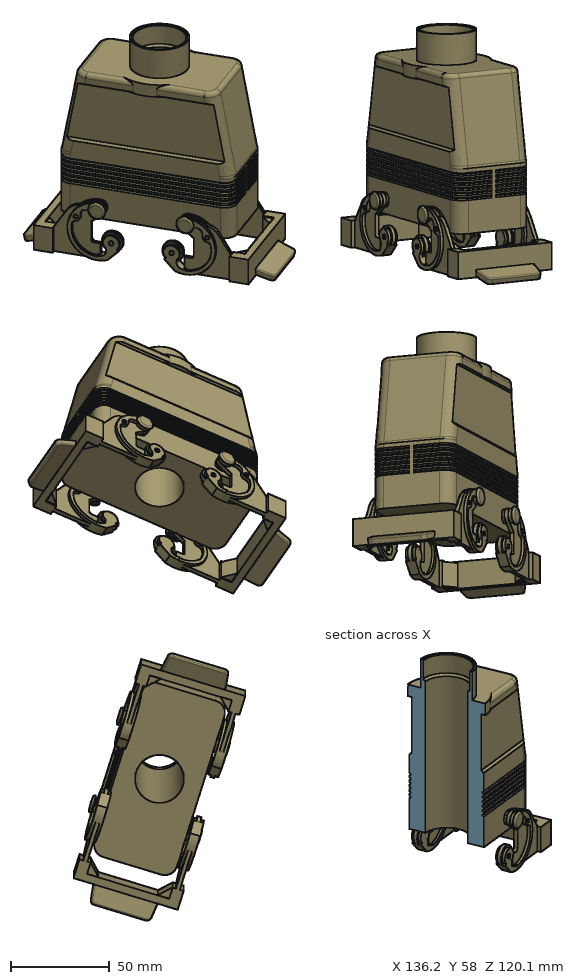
import cadquery as cq
import math


hood_half_x = 47.09
hood_half_y = 21.87
hood_height = 81.0
corner_radius = 6.5
top_edge_radius = 2.6
ledge_bottom = 33.7
ledge_top = 35.0
taper_base_half_x = 46.6
taper_top_half_x = 38.0

recess_depth = 1.3
recess_bottom = 41.7
recess_top = 74.1
recess_top_rise = 0.5

groove_count = 6
groove_width = 1.5
groove_depth = 0.8
groove_pitch = 2.53
lowest_groove_z = 18.0
groove_web = 2.6

boss_radius = 22.8
neck_radius = 15.1
neck_top = 96.9
neck_bore_radius = 13.6
rim_chamfer = 0.4
bore_radius = 12.4
neck_bore_bottom = 86.1

pin_x = 23.78
pin_z = 7.4
ring_x = pin_x
ring_z = -4.97
ring_outer_radius = 16.1
ring_inner_radius = 13.9
plate_arc_radius = 16.4
lug_radius = ring_z + plate_arc_radius - pin_z
raised_lug_radius = ring_z + ring_outer_radius - pin_z
hook_x = 16.29
hook_z = -10.2
hook_radius = 5.6
hook_pad_radius = 4.4
hook_dimple_radius = 1.2
dimple_depth = 0.4
shoulder_angle = 52.0
shoulder_middle = (37.6, 6.7)
shoulder_end = (40.8, 4.0)
rivet_x = 35.5
rivet_z = 1.8
rivet_dimple_radius = 1.1
rivet_pad_radius = 2.5
throat_x = 22.6
throat_z = -14.7
throat_radius = 3.7
window_x = 27.7
window_bottom = -12.1
window_radius = 1.6

layer_inner_y = 22.01
plate_inner_y = 23.51
plate_outer_y = 25.6
layer_outer_y = 27.33
head_inner_y = 27.8
head_outer_y = 29.0
head_radius = 4.6
head_edge_radius = 1.1
pin_radius = 2.93
pin_embed = 1.4

bridge_outer_x = 57.9
bridge_inner_x = 53.77
bridge_end_x = 47.7
bridge_half_y = 27.7
bridge_slot_half_y = 21.8
bridge_bottom = -20.7
bridge_top = -6.7
gusset_leg = bridge_inner_x - bridge_end_x
gusset_margin = 0.7
tab_tip_x = 68.1
tab_bottom_z = -23.2
tab_thickness = 3.7
tab_angle = 17.0
tab_root_half_y = 17.7
tab_tip_half_y = 15.8
tab_corner_radius = 2.6
tab_edge_radius = 0.7


def rounded_storey(z_low, size_low, z_high, size_high):
    """Block with rounded corners; each size is (half X, half Y, corner radius)."""
    sections = []
    for z, (half_x, half_y, radius) in ((z_low, size_low), (z_high, size_high)):
        section = cq.Sketch().rect(2 * half_x, 2 * half_y).vertices().fillet(radius)
        sections.append(section.moved(cq.Location(cq.Vector(0, 0, z))))
    return cq.Workplane("XY").placeSketch(*sections).loft(ruled=True)


def hood_storey(z_low, half_low, z_high, half_high):
    """One storey of the hood, tapering only along X."""
    return rounded_storey(
        z_low, (half_low, hood_half_y, corner_radius),
        z_high, (half_high, hood_half_y, corner_radius))


def make_hood():
    base = hood_storey(0, hood_half_x, ledge_bottom, hood_half_x)
    ledge = hood_storey(ledge_bottom, hood_half_x, ledge_top, taper_base_half_x)
    tower = hood_storey(ledge_top, taper_base_half_x, hood_height, taper_top_half_x)
    tower = tower.faces(">Z").edges().fillet(top_edge_radius)
    return base.union(ledge).union(tower)


def recess_cutter():
    """Recess of the front long face, with a 45 degree lower lip."""
    floor_y = hood_half_y - recess_depth
    clear_y = hood_half_y + recess_depth
    profile = [
        (-clear_y, recess_bottom - recess_depth),
        (-floor_y, recess_bottom + recess_depth),
        (-floor_y, recess_top),
        (-hood_half_y, recess_top + recess_top_rise),
        (-clear_y, recess_top + recess_top_rise),
    ]
    return cq.Workplane("YZ").polyline(profile).close().extrude(hood_half_x, both=True)


def groove_cutter(z):
    """V groove running round the hood, interrupted by a web on each end face."""
    half = groove_width / 2
    wall = (hood_half_x, hood_half_y, corner_radius)
    root = tuple(size - groove_depth for size in wall)
    ring = rounded_storey(z - half, wall, z + half, wall)
    ring = ring.cut(rounded_storey(z - half, wall, z, root))
    ring = ring.cut(rounded_storey(z, root, z + half, wall))
    web = cq.Workplane("XY").box(2 * hood_half_x, groove_web, groove_width).translate((0, 0, z))
    return ring.cut(web)


def disc(x, z, radius, y_start, y_end):
    """Cylinder along Y between two Y positions."""
    return cq.Workplane("XZ", origin=(x, y_start, z)).circle(radius).extrude(y_start - y_end)


def ring_point(radius, angle):
    """Point on a circle about the ring centre; angle in degrees from +X towards +Z."""
    turn = math.radians(angle)
    return ring_x + radius * math.cos(turn), ring_z + radius * math.sin(turn)


def slab_y(outline, y_start, y_end):
    """Closed outline in XZ given as a workplane function, extruded along Y."""
    return outline(cq.Workplane("XZ", origin=(0, y_start, 0))).close().extrude(y_start - y_end)


shank_distance = ((ring_x - hook_x) + (ring_z - hook_z)) / math.sqrt(2) + hook_radius
shank_half_angle = math.degrees(math.acos(shank_distance / ring_outer_radius))
shank_start = ring_point(ring_outer_radius, -135 + shank_half_angle)
nose_offset = hook_radius / math.sqrt(2)
shank_end = (hook_x - nose_offset, hook_z - nose_offset)

lug_tangent = (pin_x - 0.6 * lug_radius, pin_z - 0.8 * lug_radius)
window_top = lug_tangent[1] - 0.75 * (window_x - lug_tangent[0])


def shank_outline(plane):
    """Hook shank from the ring bottom to the nose centre."""
    return (
        plane.moveTo(*ring_point(ring_outer_radius, -90))
        .threePointArc(
            ring_point(ring_outer_radius, -112.5 + shank_half_angle / 2), shank_start)
        .lineTo(*shank_end).lineTo(hook_x, hook_z)
        .lineTo(throat_x, throat_z).lineTo(ring_x, throat_z)
    )


def plate_outline(plane):
    """Flat lever plate between the bridge and the window."""
    return (
        plane.moveTo(bridge_end_x, bridge_bottom)
        .lineTo(throat_x, bridge_bottom)
        .lineTo(throat_x, window_bottom)
        .lineTo(window_x - window_radius, window_bottom)
        .radiusArc((window_x, window_bottom + window_radius), -window_radius)
        .lineTo(window_x, window_top)
        .lineTo(*lug_tangent)
        .lineTo(pin_x, pin_z)
        .lineTo(*ring_point(plate_arc_radius, 90))
        .threePointArc(
            ring_point(plate_arc_radius, (90 + shoulder_angle) / 2),
            ring_point(plate_arc_radius, shoulder_angle))
        .threePointArc(shoulder_middle, shoulder_end)
        .lineTo(bridge_end_x, bridge_top)
    )


def raised_outline(plane):
    """C-shaped raised ring with its wide head at the pin."""
    head_floor = 6.4
    bend = 3.3
    bend_x = rivet_x - rivet_pad_radius - bend
    s = bend * math.sqrt(0.5)
    return (
        plane.moveTo(*ring_point(ring_outer_radius, -90))
        .threePointArc(ring_point(ring_outer_radius, 0), ring_point(ring_outer_radius, 90))
        .lineTo(pin_x, head_floor)
        .lineTo(bend_x, head_floor)
        .threePointArc((bend_x + s, head_floor - bend + s), (bend_x + bend, head_floor - bend))
        .lineTo(rivet_x - rivet_pad_radius, rivet_z)
        .threePointArc((rivet_x - 1.6, rivet_z - 1.6), (rivet_x, rivet_z - rivet_pad_radius))
        .threePointArc((rivet_x + 1.5, rivet_z - 3.3), ring_point(ring_inner_radius, 7))
        .threePointArc(ring_point(ring_inner_radius, -35), ring_point(ring_inner_radius, -90))
    )


def hook(nose_radius, y_start, y_end):
    """Hook shank and nose, cut clear of the throat."""
    body = slab_y(shank_outline, y_start, y_end)
    body = body.cut(disc(throat_x, throat_z, throat_radius, y_start, y_end))
    return body.union(disc(hook_x, hook_z, nose_radius, y_start, y_end))


def make_lever_side():
    """Side plate, raised rings, hook and pin on the +Y side of the right-hand lever."""
    side = slab_y(plate_outline, plate_inner_y, plate_outer_y)
    side = side.union(hook(hook_radius, plate_inner_y, plate_outer_y))
    side = side.union(slab_y(raised_outline, layer_inner_y, layer_outer_y))
    side = side.union(hook(hook_pad_radius, layer_inner_y, layer_outer_y))
    side = side.union(disc(pin_x, pin_z, lug_radius, plate_inner_y, plate_outer_y))
    side = side.union(disc(pin_x, pin_z, raised_lug_radius, layer_inner_y, layer_outer_y))
    for x, z, radius in ((hook_x, hook_z, hook_dimple_radius), (rivet_x, rivet_z, rivet_dimple_radius)):
        side = side.cut(disc(x, z, radius, layer_outer_y - dimple_depth, layer_outer_y))
    head = disc(pin_x, pin_z, head_radius, head_inner_y, head_outer_y)
    head = head.faces(">Y").edges().fillet(head_edge_radius)
    pin = disc(pin_x, pin_z, pin_radius, hood_half_y - pin_embed, head_outer_y)
    return side.union(pin).union(head)


def make_bridge():
    """U-shaped bar joining both side plates, with gussets in its corners."""
    height = bridge_top - bridge_bottom
    depth = bridge_outer_x - bridge_end_x
    bar = (
        cq.Workplane("XY").box(depth, 2 * bridge_half_y, height, centered=(False, True, False))
        .translate((bridge_end_x, 0, bridge_bottom))
    )
    slot = (
        cq.Workplane("XY")
        .box(gusset_leg, 2 * bridge_slot_half_y, height, centered=(False, True, False))
        .translate((bridge_end_x, 0, bridge_bottom))
    )
    bar = bar.cut(slot)
    for side in (1, -1):
        corner_y = side * bridge_slot_half_y
        triangle = [
            (bridge_inner_x, corner_y),
            (bridge_end_x, corner_y),
            (bridge_inner_x, corner_y - side * gusset_leg),
        ]
        gusset = (
            cq.Workplane("XY").workplane(offset=bridge_bottom + gusset_margin)
            .polyline(triangle).close().extrude(height - 2 * gusset_margin)
        )
        bar = bar.union(gusset)
    return bar


def make_tab():
    """Tapered thumb tab sloping down and out from the bridge."""
    tilt = math.radians(tab_angle)
    length = (tab_tip_x - bridge_inner_x) / math.cos(tilt)
    outline = [
        (-length, -tab_root_half_y), (0, -tab_tip_half_y),
        (0, tab_tip_half_y), (-length, tab_root_half_y),
    ]
    tab = cq.Workplane("XY").polyline(outline).close().extrude(tab_thickness)
    tab = tab.edges("|Z and >X").fillet(tab_corner_radius)
    tab = tab.faces(">Z or <Z").edges("not <X").fillet(tab_edge_radius)
    tab = tab.rotate((0, 0, 0), (0, 1, 0), tab_angle)
    box = tab.val().BoundingBox()
    tab = tab.translate((tab_tip_x - box.xmax, 0, tab_bottom_z - box.zmin))
    room = cq.Workplane("XY").box(2 * bridge_outer_x, 4 * bridge_half_y, 4 * bridge_half_y)
    return tab.cut(room)


def make_lever():
    side = make_lever_side()
    return side.union(side.mirror("XZ")).union(make_bridge()).union(make_tab())


hood = make_hood()
front_recess = recess_cutter()
hood = hood.cut(front_recess).cut(front_recess.mirror("XZ"))
for index in range(groove_count):
    hood = hood.cut(groove_cutter(lowest_groove_z + index * groove_pitch))

boss = cq.Workplane("XY").workplane(offset=recess_top).circle(boss_radius).extrude(hood_height - recess_top)
neck = cq.Workplane("XY").workplane(offset=recess_top).circle(neck_radius).extrude(neck_top - recess_top)
ledge_drop = neck_bore_radius - bore_radius
bore_profile = [
    (0, 0),
    (bore_radius, 0),
    (bore_radius, neck_bore_bottom - ledge_drop),
    (neck_bore_radius, neck_bore_bottom),
    (neck_bore_radius, neck_top - rim_chamfer),
    (neck_bore_radius + rim_chamfer, neck_top),
    (0, neck_top),
]
bore = cq.Workplane("XZ").polyline(bore_profile).close().revolve(360, (0, 0), (0, 1))

lever = make_lever()
result = hood.union(boss).union(neck).union(lever).union(lever.mirror("YZ")).cut(bore)